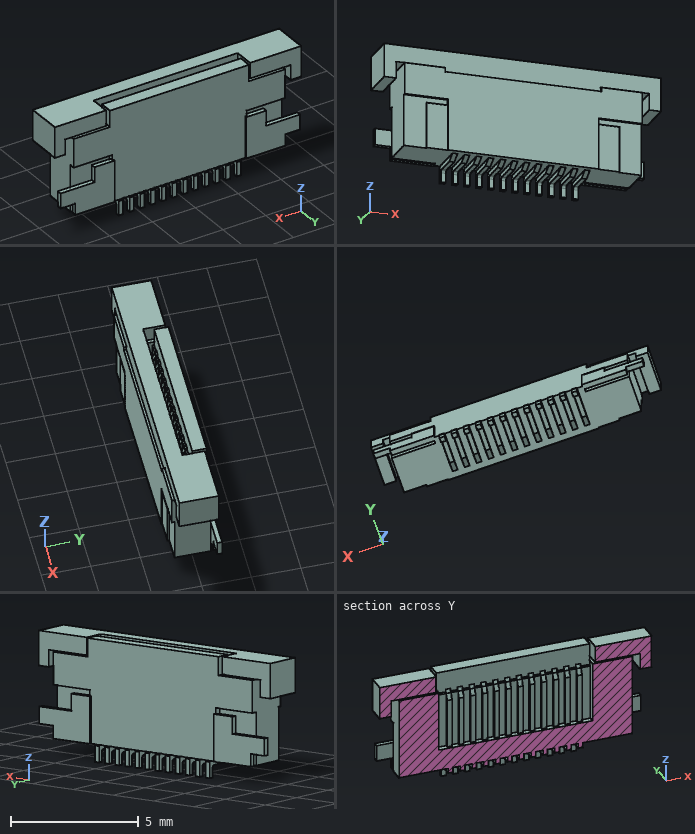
import cadquery as cq


HOUSING_WIDTH = 9.87
HOUSING_DEPTH = 1.8
HOUSING_HEIGHT = 3.45

BAR_WIDTH = 11.5
BAR_TOP = 4.2
BAR_UNDERSIDE = 3.48
BAR_FRONT = 0.1
BAR_BACK = 1.7
HOOK_BOTTOM = 2.8
HOOK_WIDTH = 0.5
BAR_SLOT_CLEARANCE = 0.12

MOUTH_WIDTH = 6.49
MOUTH_FLOOR = 3.28
WALL_FRONT = 1.22
CABLE_FRONT = 0.8
CABLE_BACK = 1.15
CABLE_FLOOR = 0.92
LEAD_IN_HEIGHT = 0.03

RECESS_HEIGHT = 2.14
RECESS_INNER_X = 3.13
FRONT_RECESS_DEPTH = 0.1
BACK_RECESS_DEPTH = 0.24
PAD_WIDTH = 0.87
PAD_HEIGHT = 1.9
FRONT_PAD_THICKNESS = 0.07

TAB_THICKNESS = 0.21
TAB_BACK = 1.87
PLATE_INNER_X = 3.07
TAB_SPAN = 11.18
TAB_BOTTOM = 0.52
TAB_HEIGHT = 0.69
TAB_FOOT_OUTER_X = 4.9

LEAD_COUNT = 12
LEAD_ROW_LENGTH = 5.5
LEAD_PITCH = LEAD_ROW_LENGTH / (LEAD_COUNT - 1)
LEAD_WIDTH = 0.21
LEAD_BOTTOM = -0.7
LEAD_BACK = 1.84
LEAD_FOOT_THICKNESS = 0.18
LEAD_BASE_DROP = 0.21
LEAD_BASE_FRONT = 0.68
LEAD_SLOPE_FRONT = 0.28
LEAD_BEND_RADIUS = 0.1
LEAD_HEEL_HEIGHT = 0.05
CONTACT_FRONT = 1.04
CONTACT_TIP = 2.99
CONTACT_TOP = 3.39

SIDES = (-1, 1)


def block(x_range, y_range, z_range):
    """Box between the given limits along each axis."""
    ranges = (x_range, y_range, z_range)
    sizes = [abs(end - start) for start, end in ranges]
    corner = tuple(min(limits) for limits in ranges)
    return cq.Workplane("XY").box(*sizes, centered=False).translate(corner)


def centred(width):
    """X limits of a feature centred on the symmetry plane."""
    return (-width / 2, width / 2)


def extrude_along_x(profile, width, centre_x=0.0):
    """Solid of the given width from a closed profile drawn in the YZ plane."""
    return profile.extrude(width / 2, both=True).translate((centre_x, 0, 0))


def make_housing():
    body = block(centred(HOUSING_WIDTH), (0, HOUSING_DEPTH), (0, HOUSING_HEIGHT))
    mouth = block(centred(MOUTH_WIDTH), (0, WALL_FRONT), (MOUTH_FLOOR, HOUSING_HEIGHT))
    back_wall = block(
        centred(MOUTH_WIDTH), (WALL_FRONT, HOUSING_DEPTH), (MOUTH_FLOOR, BAR_TOP)
    )
    body = body.cut(mouth).union(back_wall)

    for side in SIDES:
        recess_x = (side * RECESS_INNER_X, side * HOUSING_WIDTH / 2)
        back_y = (HOUSING_DEPTH - BACK_RECESS_DEPTH, HOUSING_DEPTH)
        body = body.cut(block(recess_x, (0, FRONT_RECESS_DEPTH), (0, RECESS_HEIGHT)))
        body = body.cut(block(recess_x, back_y, (0, RECESS_HEIGHT)))

        pad_x = (side * RECESS_INNER_X, side * (RECESS_INNER_X + PAD_WIDTH))
        pad_y = (FRONT_RECESS_DEPTH - FRONT_PAD_THICKNESS, FRONT_RECESS_DEPTH)
        body = body.union(block(pad_x, pad_y, (0, PAD_HEIGHT)))
    return body


def make_cable_slot():
    """Cable slot whose back edge widens in a small lead-in at the mouth."""
    profile = cq.Workplane("YZ").polyline([
        (CABLE_FRONT, CABLE_FLOOR),
        (CABLE_BACK, CABLE_FLOOR),
        (CABLE_BACK, MOUTH_FLOOR - LEAD_IN_HEIGHT),
        (WALL_FRONT, MOUTH_FLOOR),
        (CABLE_FRONT, MOUTH_FLOOR),
    ]).close()
    return extrude_along_x(profile, MOUTH_WIDTH)


def make_slider():
    bar_y = (BAR_FRONT, BAR_BACK)
    bar = block(centred(BAR_WIDTH), bar_y, (BAR_UNDERSIDE, BAR_TOP))
    for side in SIDES:
        hook_x = (side * (BAR_WIDTH / 2 - HOOK_WIDTH), side * BAR_WIDTH / 2)
        bar = bar.union(block(hook_x, bar_y, (HOOK_BOTTOM, BAR_UNDERSIDE)))

    slot_width = MOUTH_WIDTH + 2 * BAR_SLOT_CLEARANCE
    bar = bar.cut(block(centred(slot_width), (CABLE_FRONT, BAR_BACK), (BAR_UNDERSIDE, BAR_TOP)))

    tongue_y = (BAR_FRONT, CABLE_FRONT)
    return bar.union(block(centred(MOUTH_WIDTH), tongue_y, (MOUTH_FLOOR, BAR_UNDERSIDE)))


def make_solder_tab(side):
    """Upright plate in the back recess with a tab reaching past the housing and a wider foot."""
    tab_y = (TAB_BACK - TAB_THICKNESS, TAB_BACK)
    inner_x = side * PLATE_INNER_X
    plate_outer_x = side * (RECESS_INNER_X + PAD_WIDTH)
    plate = block((inner_x, plate_outer_x), tab_y, (0, PAD_HEIGHT))
    tab_z = (TAB_BOTTOM, TAB_BOTTOM + TAB_HEIGHT)
    tab = block((inner_x, side * TAB_SPAN / 2), tab_y, tab_z)
    foot = block((inner_x, side * TAB_FOOT_OUTER_X), tab_y, (0, TAB_BOTTOM))
    return plate.union(tab).union(foot)


def make_lead(centre_x):
    """Lead below the housing: sloped base, rounded bend and a foot pointing down."""
    foot_front = LEAD_BACK - LEAD_FOOT_THICKNESS
    bend_mid = LEAD_BEND_RADIUS * (1 - 0.5 ** 0.5)
    profile = (
        cq.Workplane("YZ")
        .moveTo(LEAD_SLOPE_FRONT, 0)
        .lineTo(LEAD_BASE_FRONT, -LEAD_BASE_DROP)
        .lineTo(foot_front - LEAD_BEND_RADIUS, -LEAD_BASE_DROP)
        .threePointArc(
            (foot_front - bend_mid, -LEAD_BASE_DROP - bend_mid),
            (foot_front, -LEAD_BASE_DROP - LEAD_BEND_RADIUS),
        )
        .lineTo(foot_front, LEAD_BOTTOM)
        .lineTo(LEAD_BACK, LEAD_BOTTOM)
        .lineTo(LEAD_BACK, -LEAD_HEEL_HEIGHT)
        .lineTo(HOUSING_DEPTH, 0)
        .close()
    )
    return extrude_along_x(profile, LEAD_WIDTH, centre_x)


def make_contact(centre_x):
    """Contact strip on the back of the cable slot, with a sloping tip."""
    profile = cq.Workplane("YZ").polyline([
        (CONTACT_FRONT, CABLE_FLOOR),
        (WALL_FRONT, CABLE_FLOOR),
        (WALL_FRONT, CONTACT_TOP),
        (CONTACT_FRONT, CONTACT_TIP),
    ]).close()
    return extrude_along_x(profile, LEAD_WIDTH, centre_x)


result = make_housing().cut(make_cable_slot()).union(make_slider())

for tab_side in SIDES:
    result = result.union(make_solder_tab(tab_side))

for index in range(LEAD_COUNT):
    lead_x = index * LEAD_PITCH - LEAD_ROW_LENGTH / 2
    result = result.union(make_lead(lead_x)).union(make_contact(lead_x))